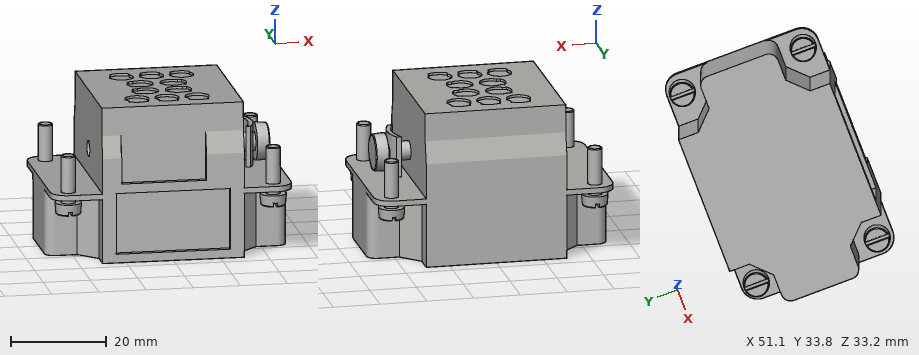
import cadquery as cq

LENGTH = 51.1
WIDTH = 33.8
HEIGHT = 33.2
FLANGE_TOP = 14.95
FLANGE_THICKNESS = 1.2
FLANGE_BOTTOM = FLANGE_TOP - FLANGE_THICKNESS
FLANGE_CORNER_RADIUS = 3.6

BLOCK_LENGTH = 30.05
CROWN_WIDTH = 31.5
SHOULDER_BOTTOM = 22.5
SHOULDER_TOP = 27.15
RECESS_DEPTH = (WIDTH - CROWN_WIDTH) / 2

BASE_END_WIDTH = 17.1
BASE_CORNER_RADIUS = 2.05
CORNER_SLOPE_RUN = 3.95

PRINT_RECESS_LEFT = -11.0
PRINT_RECESS_RIGHT = 7.0
PRINT_RECESS_BOTTOM = 16.95
LABEL_LENGTH = 24.2
LABEL_BOTTOM = 1.9

CAVITY_DIAMETER = 5.0
CAVITY_DEPTH = 0.5
KEY_WIDTH = 4.0
KEY_REACH = 3.0
KEY_CORNER_REACH = 2.35
OUTER_ROW_PITCH = 6.4
OUTER_ROW_Y = 9.2
INNER_ROW_X = 3.25
INNER_ROW_Y = 3.0

SIDE_AXIS_Z = 20.55
SIDE_HOLE_DIAMETER = 3.3
SIDE_HOLE_DEPTH = 1.0
GROUND_SHANK_DIAMETER = 4.0
GROUND_HEAD_DIAMETER = 8.0
GROUND_HEAD_START = 20.15
GROUND_HEAD_HEIGHT = 2.7
GROUND_RIM_HEIGHT = 0.55

WASHER_SIZE = 8.8
WASHER_THICKNESS = 1.0
WASHER_CROWN_X = 19.7
WASHER_BOW = 1.1
WASHER_EDGE_WIDTH = 1.0
WASHER_RELIEF_DIAMETER = 4.2
WASHER_RELIEF_DEPTH = 0.6

SCREW_X = 21.7
SCREW_Y = 13.5
SCREW_DIAMETER = 3.0
SCREW_TIP_DIAMETER = 2.6
SCREW_TOP = 22.85
SCREW_HEAD_DIAMETER = 5.5
SCREW_HEAD_TOP = 12.7
SCREW_HEAD_HEIGHT = 2.45
SCREW_RIM_HEIGHT = 0.4
SLOT_WIDTH = 0.8
SLOT_DEPTH = 0.85

HEAD_TAPER = 0.15
HEAD_EDGE_CHAMFER = 0.2


def block():
    """Central block: stepped Y-Z outline extruded along X."""
    right_side = [(WIDTH / 2, 0), (WIDTH / 2, SHOULDER_BOTTOM),
                  (CROWN_WIDTH / 2, SHOULDER_TOP), (CROWN_WIDTH / 2, HEIGHT)]
    left_side = [(-y, z) for y, z in reversed(right_side)]
    outline = cq.Workplane("YZ").polyline(right_side + left_side).close()
    return outline.extrude(BLOCK_LENGTH / 2, both=True)


def flange():
    plate = cq.Workplane("XY").workplane(offset=FLANGE_BOTTOM).rect(LENGTH, WIDTH)
    return plate.extrude(FLANGE_THICKNESS).edges("|Z").fillet(FLANGE_CORNER_RADIUS)


def base():
    """Narrow ends of the base, joined to the block by sloped corners."""
    ends = cq.Workplane("XY").rect(LENGTH, BASE_END_WIDTH).extrude(FLANGE_BOTTOM)
    ends = ends.edges("|Z").fillet(BASE_CORNER_RADIUS)
    near_x = BLOCK_LENGTH / 2
    far_x = near_x + CORNER_SLOPE_RUN
    near_y = BASE_END_WIDTH / 2 + CORNER_SLOPE_RUN
    far_y = BASE_END_WIDTH / 2
    right_side = [(near_x, -near_y), (far_x, -far_y), (far_x, far_y), (near_x, near_y)]
    left_side = [(-x, y) for x, y in reversed(right_side)]
    slopes = cq.Workplane("XY").polyline(right_side + left_side).close()
    return ends.union(slopes.extrude(FLANGE_BOTTOM))


def front_recess(x_min, x_max, z_min, z_max):
    """Rectangular cutter that sinks into the -Y face."""
    size = (x_max - x_min, RECESS_DEPTH, z_max - z_min)
    return cq.Workplane("XY").box(*size, centered=False).translate((x_min, -WIDTH / 2, z_min))


def cavity(x, y, key_angle):
    """Round cavity with a key on the side given by key_angle, from +X."""
    half_key = KEY_WIDTH / 2
    floor = cq.Workplane("XY").workplane(offset=HEIGHT - CAVITY_DEPTH)
    bore = floor.circle(CAVITY_DIAMETER / 2).extrude(CAVITY_DEPTH)
    key = (
        floor.moveTo(0, -half_key)
        .lineTo(KEY_CORNER_REACH, -half_key)
        .threePointArc((KEY_REACH, 0), (KEY_CORNER_REACH, half_key))
        .lineTo(0, half_key)
        .close()
        .extrude(CAVITY_DEPTH)
    )
    return bore.union(key).rotate((0, 0, 0), (0, 0, 1), key_angle).translate((x, y, 0))


def cavities():
    """Three cavities in each outer row, two in each inner row, keys outward."""
    places = []
    for side in (-1, 1):
        for column in (-1, 0, 1):
            places.append((column * OUTER_ROW_PITCH, side * OUTER_ROW_Y, side * 90))
        for row in (-1, 1):
            places.append((side * INNER_ROW_X, row * INNER_ROW_Y, 90 - side * 90))
    return [cavity(*place) for place in places]


def screw_head(diameter, height, rim_height):
    """Head hanging down from Z = 0: cylindrical rim, slight taper, broken edge."""
    radius = diameter / 2
    end_radius = radius - HEAD_TAPER
    outline = [(0, 0), (radius, 0), (radius, -rim_height),
               (end_radius, HEAD_EDGE_CHAMFER - height),
               (end_radius - HEAD_EDGE_CHAMFER, -height), (0, -height)]
    return cq.Workplane("XZ").polyline(outline).close().revolve(360, (0, 0, 0), (0, 1, 0))


def fixing_screw():
    """Vertical screw, head below the flange, slot along Y."""
    tip_chamfer = (SCREW_DIAMETER - SCREW_TIP_DIAMETER) / 2
    shank = (
        cq.Workplane("XY").workplane(offset=SCREW_HEAD_TOP)
        .circle(SCREW_DIAMETER / 2)
        .extrude(SCREW_TOP - SCREW_HEAD_TOP)
        .faces(">Z").chamfer(tip_chamfer)
    )
    head = screw_head(SCREW_HEAD_DIAMETER, SCREW_HEAD_HEIGHT, SCREW_RIM_HEIGHT)
    slot_center_z = SLOT_DEPTH / 2 - SCREW_HEAD_HEIGHT
    slot = cq.Workplane("XY").box(SLOT_WIDTH, SCREW_HEAD_DIAMETER, SLOT_DEPTH)
    head = head.cut(slot.translate((0, 0, slot_center_z)))
    return shank.union(head.translate((0, 0, SCREW_HEAD_TOP)))


def ground_screw():
    """Horizontal screw standing out of the +X face."""
    start = BLOCK_LENGTH / 2
    shank = (
        cq.Workplane("YZ", origin=(start, 0, SIDE_AXIS_Z))
        .circle(GROUND_SHANK_DIAMETER / 2)
        .extrude(GROUND_HEAD_START - start)
    )
    head = screw_head(GROUND_HEAD_DIAMETER, GROUND_HEAD_HEIGHT, GROUND_RIM_HEIGHT)
    head = head.rotate((0, 0, 0), (0, 1, 0), -90)
    return shank.union(head.translate((GROUND_HEAD_START, 0, SIDE_AXIS_Z)))


def clamp_washer():
    """Square washer bowed toward the screw head, straight along Z.

    A clearance recess rings the screw on the head side; the remaining web joins washer and screw.
    """
    half = WASHER_SIZE / 2
    outer_edge_x = WASHER_CROWN_X - WASHER_BOW
    inner_edge_x = outer_edge_x - WASHER_EDGE_WIDTH
    inner_crown_x = WASHER_CROWN_X - WASHER_THICKNESS
    washer = (
        cq.Workplane("XY", origin=(0, 0, SIDE_AXIS_Z))
        .moveTo(outer_edge_x, -half)
        .threePointArc((WASHER_CROWN_X, 0), (outer_edge_x, half))
        .lineTo(inner_edge_x, half)
        .threePointArc((inner_crown_x, 0), (inner_edge_x, -half))
        .close()
        .extrude(half, both=True)
    )
    relief = (
        cq.Workplane("YZ", origin=(WASHER_CROWN_X - WASHER_RELIEF_DEPTH, 0, SIDE_AXIS_Z))
        .circle(WASHER_RELIEF_DIAMETER / 2)
        .extrude(WASHER_RELIEF_DEPTH)
    )
    return washer.cut(relief)


def side_hole():
    face = cq.Workplane("YZ", origin=(-BLOCK_LENGTH / 2, 0, SIDE_AXIS_Z))
    return face.circle(SIDE_HOLE_DIAMETER / 2).extrude(SIDE_HOLE_DEPTH)


result = block().union(flange()).union(base())

result = result.cut(front_recess(PRINT_RECESS_LEFT, PRINT_RECESS_RIGHT, PRINT_RECESS_BOTTOM, HEIGHT))
result = result.cut(front_recess(-LABEL_LENGTH / 2, LABEL_LENGTH / 2, LABEL_BOTTOM, FLANGE_TOP))
for cutter in cavities():
    result = result.cut(cutter)
result = result.cut(side_hole())

result = result.union(clamp_washer()).union(ground_screw())
for x in (-SCREW_X, SCREW_X):
    for y in (-SCREW_Y, SCREW_Y):
        result = result.union(fixing_screw().translate((x, y, 0)))